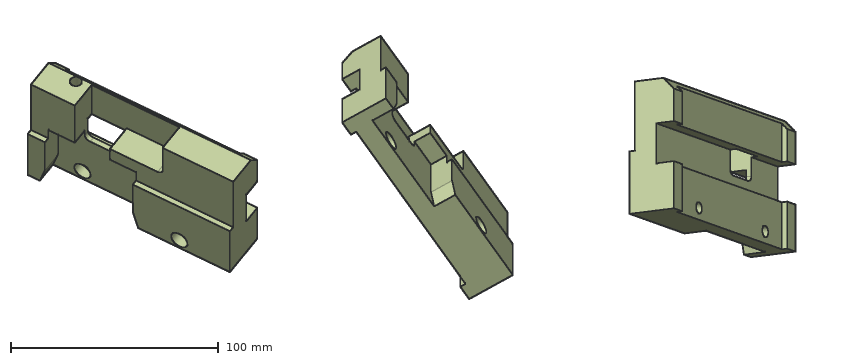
import cadquery as cq

LENGTH = 115.0
DEPTH = 25.0
HEIGHT = 65.0

STEP_DEPTH = 3.0
STEP_HEIGHT = 30.8
BACK_SLOT_DEPTH = 10.0
BACK_SLOT_BOTTOM = 23.2
BACK_SLOT_TOP = 43.0
CHAMFER = 6.0

PAD_LENGTH = 8.0
RELIEF_DEPTH = 3.0

LOWER_POCKET_LEFT = 9.9
POCKET_WIDTH = 49.9
LOWER_POCKET_DEPTH = 12.0
LOWER_POCKET_TOP = 37.0
FLARE = 3.0
FLARE_HEIGHT = 9.9

UPPER_POCKET_LEFT = 25.0
UPPER_POCKET_DEPTH = 18.3
UPPER_POCKET_FLOOR = 45.1
WINDOW_WIDTH = 19.9
CORNER_RADIUS = 3.0

BOLT_HOLE_X = 23.7
BOLT_HOLE_SPACING = 62.6
BOLT_HOLE_Z = 5.9
BOLT_DIAMETER = 5.5
COUNTERBORE_DIAMETER = 9.2
COUNTERBORE_DEPTH = 18.0

TOP_HOLE_X = 17.4
TOP_HOLE_Y = 16.1
TOP_HOLE_DIAMETER = 5.9
TOP_HOLE_DEPTH = 15.0


def box(x_start, x_end, y_start, y_end, z_start, z_end):
    """Box spanning the given ranges along X, Y and Z."""
    size = (x_end - x_start, y_end - y_start, z_end - z_start)
    return cq.Workplane("XY").box(*size, centered=False).translate((x_start, y_start, z_start))


def make_body():
    """Extrude the YZ cross-section along X."""
    slot_face = DEPTH - BACK_SLOT_DEPTH
    section = [
        (0, 0),
        (DEPTH, 0),
        (DEPTH, BACK_SLOT_BOTTOM),
        (slot_face, BACK_SLOT_BOTTOM),
        (slot_face, BACK_SLOT_TOP),
        (DEPTH, BACK_SLOT_TOP),
        (DEPTH, HEIGHT - CHAMFER),
        (DEPTH - CHAMFER, HEIGHT),
        (STEP_DEPTH, HEIGHT),
        (STEP_DEPTH, STEP_HEIGHT),
        (0, STEP_HEIGHT),
    ]
    return cq.Workplane("YZ").polyline(section).close().extrude(LENGTH)


def lower_pocket():
    left = LOWER_POCKET_LEFT
    right = left + POCKET_WIDTH
    outline = [
        (left - FLARE, 0),
        (right + FLARE, 0),
        (right, FLARE_HEIGHT),
        (right, LOWER_POCKET_TOP),
        (left, LOWER_POCKET_TOP),
        (left, FLARE_HEIGHT),
    ]
    return cq.Workplane("XZ").polyline(outline).close().extrude(-LOWER_POCKET_DEPTH)


def upper_pocket():
    left = UPPER_POCKET_LEFT
    right = left + POCKET_WIDTH
    pocket = box(left, right, 0, UPPER_POCKET_DEPTH, UPPER_POCKET_FLOOR, HEIGHT)
    return pocket.edges("|Y and >X and <Z").fillet(CORNER_RADIUS)


def window():
    left = UPPER_POCKET_LEFT
    right = left + WINDOW_WIDTH
    opening = box(left, right, 0, UPPER_POCKET_DEPTH, STEP_HEIGHT, HEIGHT)
    return opening.edges("|Y and <Z").fillet(CORNER_RADIUS)


def bolt_hole(x):
    front = cq.Workplane("XZ").center(x, BOLT_HOLE_Z)
    bore = front.circle(BOLT_DIAMETER / 2).extrude(-DEPTH)
    counterbore = front.circle(COUNTERBORE_DIAMETER / 2).extrude(-COUNTERBORE_DEPTH)
    return bore.union(counterbore)


def top_hole():
    start = cq.Workplane("XY").workplane(offset=HEIGHT).center(TOP_HOLE_X, TOP_HOLE_Y)
    return start.circle(TOP_HOLE_DIAMETER / 2).extrude(-TOP_HOLE_DEPTH)


result = make_body()
result = result.cut(box(PAD_LENGTH, LENGTH - PAD_LENGTH, DEPTH - RELIEF_DEPTH, DEPTH, 0, HEIGHT))
result = result.cut(lower_pocket())
result = result.cut(upper_pocket())
result = result.cut(window())
for hole_x in (BOLT_HOLE_X, BOLT_HOLE_X + BOLT_HOLE_SPACING):
    result = result.cut(bolt_hole(hole_x))
result = result.cut(top_hole())